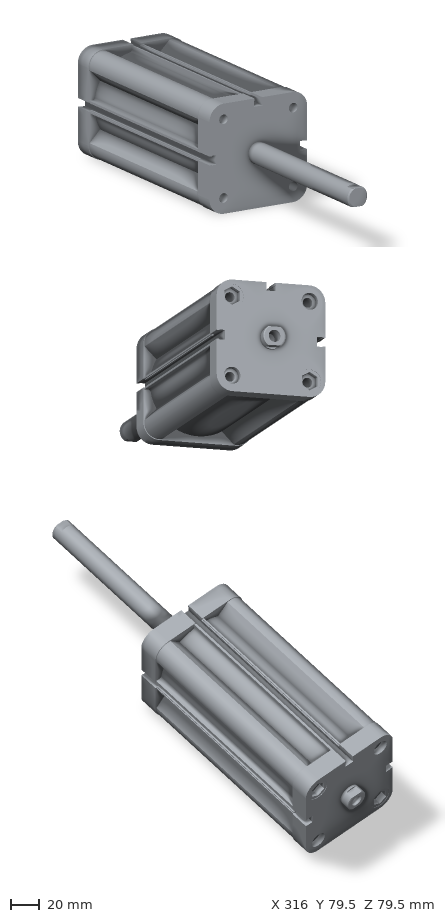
import cadquery as cq
import math

rod_length = 316.0
rod_diameter = 16.0
front_chamfer = 1.0
rear_chamfer_depth = 0.3
rear_chamfer_width = 0.8
flat_width = 13.3
rear_flat_length = 6.0
front_flat_length = 6.5
rod_bore_diameter = 8.5
rod_bore_depth = 12.5
drill_tip_angle = 118.0

cap_side = 79.5
cap_corner_radius = 11.7
rear_cap_start = 8.0
rear_cap_length = 14.2
tube_length = 146.0
front_cap_length = 15.2

slot_width = 7.0
slot_depth = 6.0
mouth_width = 6.3
cap_lip_thickness = 2.0

tie_hole_diameter = 7.0
counterbore_diameter = 12.0
counterbore_depth = 5.0
hex_across_flats = 11.5
hex_depth = 5.5
spot_face_diameter = 16.5
spot_face_depth = 0.3

corner_center = 28.5
arm_radius = 10.7
arm_edge = 26.2
barrel_radius = 35.0
rail_width = 9.0
rail_drop = 0.5
rail_root_radius = 2.0
rail_lip_gap = 4.7
rail_lip_drop = 0.5
rail_lip_thickness = 1.3

half_side = cap_side / 2
slot_floor = half_side - slot_depth
tube_start = rear_cap_start + rear_cap_length
front_cap_start = tube_start + tube_length
rail_top = half_side - rail_drop
quarter_turns = [0, 90, 180, 270]
slotted_sides = [0, 90, 270]
corners = [(y, z) for y in (corner_center, -corner_center) for z in (corner_center, -corner_center)]
hex_corners = [(y, z) for y, z in corners if y * z > 0]
plain_corners = [(y, z) for y, z in corners if y * z < 0]


def section_at(x):
    """Sketch plane across the cylinder axis: local x is Y, local y is Z."""
    return cq.Workplane("YZ", origin=(x, 0, 0))


def box_section(x, length, width, bottom, top):
    """Bar along X, centred on Y, between two heights."""
    return section_at(x).center(0, (bottom + top) / 2).rect(width, top - bottom).extrude(length)


def turned_about_axis(shape, angle):
    """Copy of a shape turned about the cylinder axis."""
    return shape.rotate((0, 0, 0), (1, 0, 0), angle)


def add_at(body, shape, angles):
    """Join a shape made on the +Z side at each of the given turns."""
    for angle in angles:
        body = body.union(turned_about_axis(shape, angle))
    return body


def cut_at(body, shape, angles):
    """Cut a shape made on the +Z side at each of the given turns."""
    for angle in angles:
        body = body.cut(turned_about_axis(shape, angle))
    return body


def cut_axial_holes(body, x, length):
    """Rod bore and the four tie holes, right through."""
    rod_bore = section_at(x).circle(rod_diameter / 2).extrude(length)
    tie_holes = section_at(x).pushPoints(corners).circle(tie_hole_diameter / 2).extrude(length)
    return body.cut(rod_bore).cut(tie_holes)


def make_cap(x, length):
    """Square end cap with rounded corners and a T-slot in three sides."""
    cap = section_at(x).rect(cap_side, cap_side).extrude(length).edges("|X").fillet(cap_corner_radius)
    slot = box_section(x, length, slot_width, slot_floor, half_side - cap_lip_thickness)
    mouth = box_section(x, length, mouth_width, slot_floor, half_side)
    cap = cut_at(cap, slot.union(mouth), slotted_sides)
    return cut_axial_holes(cap, x, length)


def make_rear_cap():
    """End cap with two counterbored and two hexagon-socket tie holes."""
    cap = make_cap(rear_cap_start, rear_cap_length)
    face = section_at(rear_cap_start)
    counterbores = face.pushPoints(plain_corners).circle(counterbore_diameter / 2).extrude(counterbore_depth)
    spot_faces = face.pushPoints(hex_corners).circle(spot_face_diameter / 2).extrude(spot_face_depth)
    cap = cap.cut(counterbores).cut(spot_faces)
    hex_diameter = hex_across_flats / math.cos(math.pi / 6)
    for y, z in hex_corners:
        socket = face.polygon(6, hex_diameter).extrude(hex_depth)
        socket = turned_about_axis(socket, 90).translate((0, y, z))
        cap = cap.cut(socket)
    return cap


def make_rail():
    """T-slot rail on the +Z side, still solid, with rounded roots on the barrel."""
    half_rail = rail_width / 2
    root_edge = half_rail + rail_root_radius
    root_height = math.sqrt(barrel_radius**2 - root_edge**2)
    bend = rail_root_radius * (1 - math.sqrt(0.5))
    return (
        section_at(tube_start)
        .moveTo(-root_edge, slot_floor - rail_root_radius)
        .lineTo(-root_edge, root_height)
        .threePointArc((-half_rail - bend, root_height + bend), (-half_rail, root_height + rail_root_radius))
        .lineTo(-half_rail, rail_top)
        .lineTo(half_rail, rail_top)
        .lineTo(half_rail, root_height + rail_root_radius)
        .threePointArc((half_rail + bend, root_height + bend), (root_edge, root_height))
        .lineTo(root_edge, slot_floor - rail_root_radius)
        .close()
        .extrude(tube_length)
    )


def make_arm():
    """Corner column at +Y +Z: a round head on two flanks that run in at 45 degrees."""
    tip = corner_center + arm_radius / math.sqrt(2)
    edge_rise = math.sqrt(arm_radius**2 - (corner_center - arm_edge) ** 2)
    edge_height = corner_center + edge_rise
    root = edge_height - arm_edge
    return (
        section_at(tube_start)
        .moveTo(0, root)
        .lineTo(arm_edge, edge_height)
        .threePointArc((tip, tip), (edge_height, arm_edge))
        .lineTo(root, 0)
        .lineTo(0, 0)
        .close()
        .extrude(tube_length)
    )


def make_tube():
    """Profile tube: round barrel, four corner columns and three T-slot rails."""
    tube = section_at(tube_start).circle(barrel_radius).extrude(tube_length)
    tube = add_at(tube, make_arm(), quarter_turns)
    tube = add_at(tube, make_rail(), slotted_sides)
    lip_top = rail_top - rail_lip_drop
    lip_underside = lip_top - rail_lip_thickness
    slot = box_section(tube_start, tube_length, slot_width, slot_floor, lip_underside)
    mouth = box_section(tube_start, tube_length, rail_lip_gap, slot_floor, rail_top)
    step = box_section(tube_start, tube_length, mouth_width, lip_top, rail_top)
    tube = cut_at(tube, slot.union(mouth).union(step), slotted_sides)
    return cut_axial_holes(tube, tube_start, tube_length)


def make_rod():
    """Through rod with wrench flats at both ends and a drilled hole in the rear end."""
    rod = section_at(0).circle(rod_diameter / 2).extrude(rod_length)
    rod = rod.faces(">X").chamfer(front_chamfer)
    rod = rod.faces("<X").chamfer(rear_chamfer_depth, rear_chamfer_width)
    for x, length in ((0, rear_flat_length), (rod_length - front_flat_length, front_flat_length)):
        waste = box_section(x, length, rod_diameter, flat_width / 2, rod_diameter)
        rod = cut_at(rod, waste, (0, 180))
    bore_radius = rod_bore_diameter / 2
    tip_length = bore_radius / math.tan(math.radians(drill_tip_angle / 2))
    drill = (
        cq.Workplane("XY")
        .polyline([(0, 0), (0, bore_radius), (rod_bore_depth, bore_radius), (rod_bore_depth + tip_length, 0)])
        .close()
        .revolve(360, (0, 0, 0), (1, 0, 0))
    )
    return rod.cut(drill)


rear_cap = make_rear_cap()
tube = make_tube()
front_cap = make_cap(front_cap_start, front_cap_length)
rod = make_rod()

result = cq.Compound.makeCompound([rear_cap.val(), tube.val(), front_cap.val(), rod.val()])